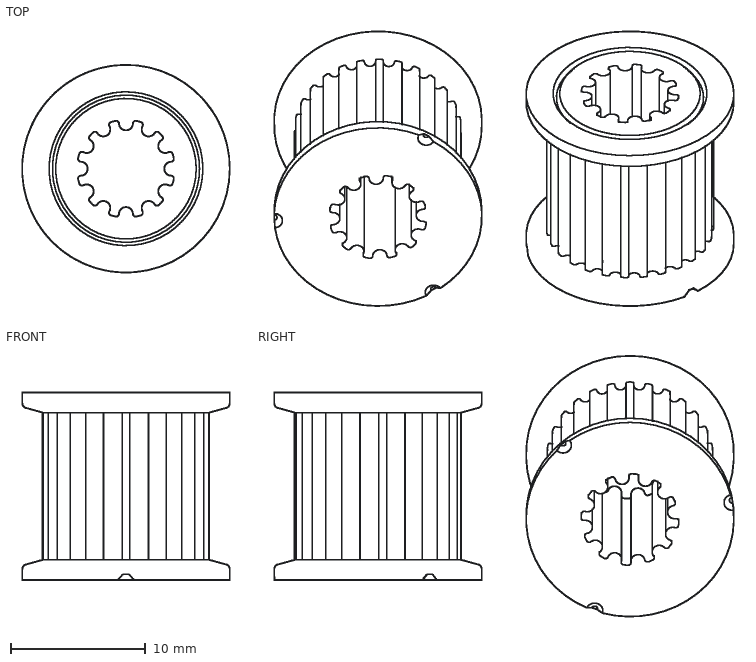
import cadquery as cq
import math

flange_radius = 7.72
body_height = 13.95
flange_thickness = 1.51
rim_height = 0.8
cone_start_radius = 7.38
cone_start_height = 1.19
belt_tip_radius = 6.2

belt_tooth_count = 27
belt_groove_radius = 0.42
belt_groove_depth = 0.59
first_belt_groove_angle = 90
belt_edge_round = 0.14

bore_tooth_count = 12
bore_radius = 3.63
bore_tooth_radius = 0.52
bore_tooth_tip_radius = 2.84
bore_corner_round = 0.2

ring_outer_radius = 5.71
ring_inner_radius = 5.22
ring_depth = 0.39

notch_count = 3
first_notch_angle = 30
notch_base_radius = 0.62
notch_tip_radius = 0.22
notch_height = 0.45


def flange():
    """Bottom flange: straight rim, rounded shoulder, then a shallow cone up to the toothed body."""
    return (
        cq.Workplane("XZ")
        .lineTo(flange_radius, 0)
        .lineTo(flange_radius, rim_height)
        .tangentArcPoint((cone_start_radius, cone_start_height), relative=False)
        .lineTo(belt_tip_radius, flange_thickness)
        .lineTo(0, flange_thickness)
        .close()
        .revolve(360, (0, 0, 0), (0, 1, 0))
    )


def toothed_body():
    """Cylinder between the flanges with round-bottomed belt grooves."""
    height = body_height - 2 * flange_thickness
    groove_center = belt_tip_radius - belt_groove_depth + belt_groove_radius
    cylinder = cq.Workplane("XY").circle(belt_tip_radius).extrude(height)
    grooves = (
        cq.Workplane("XY")
        .polarArray(groove_center, first_belt_groove_angle, 360, belt_tooth_count)
        .circle(belt_groove_radius)
        .extrude(height)
    )
    body = cylinder.cut(grooves).edges("|Z").fillet(belt_edge_round)
    return body.translate((0, 0, flange_thickness))


def bore():
    """Through hole with round teeth pointing inward and rounded corners between them."""
    disc = cq.Workplane("XY").circle(bore_radius).extrude(body_height)
    teeth = (
        cq.Workplane("XY")
        .polarArray(bore_tooth_tip_radius + bore_tooth_radius, 0, 360, bore_tooth_count)
        .circle(bore_tooth_radius)
        .extrude(body_height)
    )
    return disc.cut(teeth).edges("|Z").fillet(bore_corner_round)


def ring_groove():
    middle_radius = (ring_outer_radius + ring_inner_radius) / 2
    return (
        cq.Workplane("XZ")
        .moveTo(ring_inner_radius, body_height)
        .lineTo(middle_radius, body_height - ring_depth)
        .lineTo(ring_outer_radius, body_height)
        .close()
        .revolve(360, (0, 0, 0), (0, 1, 0))
    )


def rim_notches():
    """Truncated cones centered on the rim edge, narrowing upward from the bottom face."""
    notch_taper = math.degrees(math.atan2(notch_base_radius - notch_tip_radius, notch_height))
    return (
        cq.Workplane("XY")
        .polarArray(flange_radius, first_notch_angle, 360, notch_count)
        .circle(notch_base_radius)
        .extrude(notch_height, taper=notch_taper)
    )


bottom_flange = flange()
top_flange = bottom_flange.mirror("XY").translate((0, 0, body_height))

result = toothed_body().union(bottom_flange).union(top_flange)
result = result.cut(bore()).cut(ring_groove()).cut(rim_notches())